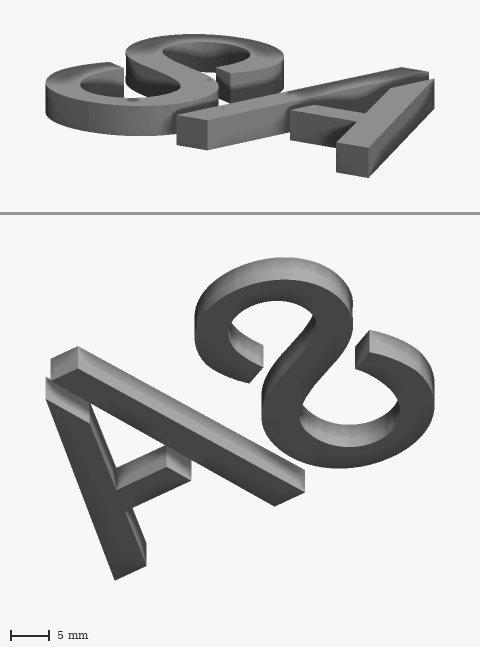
import cadquery as cq

thickness = 4.0
baseline = 0.75
total_length = 53.65

s_top = 36.6
s_middle_x = 11.35
upper_y = 27.5
upper_outer_left = 0.95
upper_outer_right = 21.95
upper_inner_left = 5.5
upper_inner_right = 17.3
upper_inner_top = 33.05
lower_y = 10.4
lower_outer_right = 22.8
lower_inner_left = 4.75
lower_inner_right = 17.95
lower_inner_bottom = 3.5

upper_tip_outer = (19.25, 21.35)
upper_tip_inner = (16.1, 22.85)
lower_tip_outer = (3.2, 17.65)
lower_tip_inner = (6.45, 16.1)

spine_lower = (8.95, 18.1)
spine_upper = (13.9, 20.65)
spine_slope = -0.41

upper_tip_outer_corner = 24.55
upper_tip_inner_corner = 25.2
lower_tip_outer_corner = 14.1
lower_tip_inner_corner = 13.7

bowl_fullness = 0.57
spine_fullness = 0.69

a_top = 35.8
bar_foot_left = 24.3
bar_foot_right = 29.0
leg_foot_left = 48.7
outer_lean = 0.336
inner_lean = 0.321
gap_width = 3.1
crossbar_bottom = 10.6
crossbar_top = 14.5


def point_toward(start, target, share):
    """Point lying a given share of the way from start to target."""
    return (
        start[0] + share * (target[0] - start[0]),
        start[1] + share * (target[1] - start[1]),
    )


def turn(outline, start, corner, end):
    """Add a curve whose end tangents meet at the corner."""
    meets_spine = start in (spine_lower, spine_upper) or end in (spine_lower, spine_upper)
    fullness = spine_fullness if meets_spine else bowl_fullness
    start_handle = point_toward(start, corner, fullness)
    end_handle = point_toward(end, corner, fullness)
    return outline.bezier([start, start_handle, end_handle, end])


def spine_height(spine_point, x):
    """Height of the spine tangent through spine_point at position x."""
    return spine_point[1] + spine_slope * (x - spine_point[0])


def add_turns(outline, start, turns):
    """Add a chain of curves, each given by its tangent corner and its end."""
    for corner, end in turns:
        outline = turn(outline, start, corner, end)
        start = end
    return outline


def make_letter_s():
    outer_then_lower_bowl = [
        ((upper_outer_right, upper_tip_outer_corner), (upper_outer_right, upper_y)),
        ((upper_outer_right, s_top), (s_middle_x, s_top)),
        ((upper_outer_left, s_top), (upper_outer_left, upper_y)),
        ((upper_outer_left, spine_height(spine_lower, upper_outer_left)), spine_lower),
        ((lower_inner_right, spine_height(spine_lower, lower_inner_right)), (lower_inner_right, lower_y)),
        ((lower_inner_right, lower_inner_bottom), (s_middle_x, lower_inner_bottom)),
        ((lower_inner_left, lower_inner_bottom), (lower_inner_left, lower_y)),
        ((lower_inner_left, lower_tip_inner_corner), lower_tip_inner),
    ]
    outer_then_upper_bowl = [
        ((0, lower_tip_outer_corner), (0, lower_y)),
        ((0, 0), (s_middle_x, 0)),
        ((lower_outer_right, 0), (lower_outer_right, lower_y)),
        ((lower_outer_right, spine_height(spine_upper, lower_outer_right)), spine_upper),
        ((upper_inner_left, spine_height(spine_upper, upper_inner_left)), (upper_inner_left, upper_y)),
        ((upper_inner_left, upper_inner_top), (s_middle_x, upper_inner_top)),
        ((upper_inner_right, upper_inner_top), (upper_inner_right, upper_y)),
        ((upper_inner_right, upper_tip_inner_corner), upper_tip_inner),
    ]
    outline = cq.Workplane("XY").moveTo(*upper_tip_outer)
    outline = add_turns(outline, upper_tip_outer, outer_then_lower_bowl)
    outline = outline.lineTo(*lower_tip_outer)
    outline = add_turns(outline, lower_tip_outer, outer_then_upper_bowl)
    return outline.close().extrude(thickness)


def leaning_point(foot_x, lean, y):
    """Point at height y on an edge that rises from foot_x on the baseline."""
    return (foot_x + lean * (y - baseline), y)


def make_a_bar():
    """Left stroke of the A, a separate slanted bar."""
    corners = [
        (bar_foot_left, baseline),
        (bar_foot_right, baseline),
        leaning_point(bar_foot_right, inner_lean, a_top),
        leaning_point(bar_foot_left, outer_lean, a_top),
    ]
    return cq.Workplane("XY").polyline(corners).close().extrude(thickness)


def make_a_leg():
    """Right stroke of the A together with its crossbar."""
    gap_foot = bar_foot_right + gap_width
    peak_y = baseline + (total_length - gap_foot) / (inner_lean + outer_lean)
    notch_y = baseline + (leg_foot_left - gap_foot) / (2 * inner_lean)
    corners = [
        (total_length, baseline),
        leaning_point(gap_foot, inner_lean, peak_y),
        leaning_point(gap_foot, inner_lean, notch_y),
        leaning_point(leg_foot_left, -inner_lean, crossbar_top),
        leaning_point(gap_foot, inner_lean, crossbar_top),
        leaning_point(gap_foot, inner_lean, crossbar_bottom),
        leaning_point(leg_foot_left, -inner_lean, crossbar_bottom),
        (leg_foot_left, baseline),
    ]
    return cq.Workplane("XY").polyline(corners).close().extrude(thickness)


letter_s = make_letter_s()
a_bar = make_a_bar()
a_leg = make_a_leg()

result = cq.Compound.makeCompound([letter_s.val(), a_bar.val(), a_leg.val()])